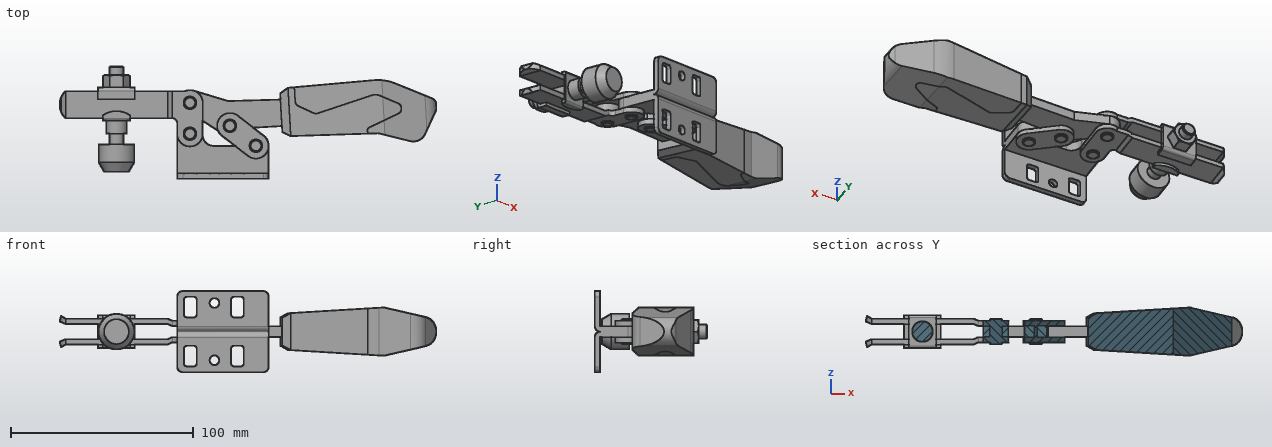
import cadquery as cq
import math


LEVER_THICKNESS = 6.0
SHEET = LEVER_THICKNESS / 2
LOBE_RADIUS = 7.0
RIVET_RADIUS = 3.5
RIVET_HEAD_HEIGHT = 1.0
RIVET_CHAMFER = 0.6
RIVET_HALF_LENGTH = 2 * SHEET + RIVET_HEAD_HEIGHT

ARM_BASE_PIVOT = (71.3, 24.7)
ARM_LEVER_PIVOT = (ARM_BASE_PIVOT[0], 41.6)
LINK_LEVER_PIVOT = (93.1, 29.0)
LINK_BASE_PIVOT = (107.3, 18.1)

BASE_LEFT = ARM_BASE_PIVOT[0] - LOBE_RADIUS
BASE_RIGHT = LINK_BASE_PIVOT[0] + LOBE_RADIUS
BASE_LENGTH = BASE_RIGHT - BASE_LEFT
BASE_WIDTH = 44.5
BASE_CORNER_RADIUS = 3.0
WEB_HEIGHT = LINK_BASE_PIVOT[1]
WEB_FILLET = 6.0
SLOT_WIDTH = 6.8
SLOT_LENGTH = 11.1
SLOT_CORNER_RADIUS = 1.5
SLOT_CENTERS_X = (71.5, 97.2)
SLOT_OFFSET_Z = 13.4
MOUNT_HOLE_DIAMETER = 5.2
MOUNT_HOLE_X = 84.7
MOUNT_HOLE_OFFSET_Z = 15.7

ARM_BOTTOM = 33.2
ARM_TOP = 48.0
ARM_MIDDLE = (ARM_BOTTOM + ARM_TOP) / 2
ARM_INNER_Z = 4.1
ARM_OUTER_Z = ARM_INNER_Z + SHEET
JOG_START_X = 59.1
JOG_END_X = 61.5
ARM_NECK_FILLET = 2.7
TIP_LENGTH = 3.3
TIP_FLARE = 1.5
TIP_BEVEL = 0.8

SPINDLE_X = 31.1
SPINDLE_TOP = 61.5
SPINDLE_RADIUS = 4.0
SPINDLE_CHAMFER = 0.6
WASHER_HALF_WIDTH = 9.0
UPPER_WASHER_LENGTH = 20.2
UPPER_WASHER_BOTTOM = 43.7
UPPER_WASHER_TOP = 50.0
UPPER_WASHER_BEND = 1.9
LOWER_WASHER_LENGTH = 14.8
LOWER_WASHER_BOTTOM = 32.0
LOWER_WASHER_SHOULDER = 34.8
LOWER_WASHER_TOP = 37.0
LOWER_WASHER_BEND = 1.2
NUT_TOP = 56.9
NUT_CORNER_DIAMETER = 14.8
NUT_CHAMFER_WIDTH = 1.0
NUT_CHAMFER_HEIGHT = 0.6
COLLAR_DIAMETER = 11.3
COLLAR_RADIUS = COLLAR_DIAMETER / 2
COLLAR_BOTTOM = 24.7
CAP_DIAMETER = 19.5
CAP_RADIUS = CAP_DIAMETER / 2
CAP_TOP = 19.0
CAP_CONE_TOP = 9.0
CAP_BOTTOM = 4.0
CAP_FACE_RADIUS = 6.8

GRIP_ORIGIN = (121.1, 36.0)
GRIP_TILT = 3.3
GRIP_REACH = 41.2
TAIL_TOP_V = 7.5
TAIL_BOTTOM_V = -7.2
GRIP_CHAMFER_U = 4.5
GRIP_WIDEST_U = 55.8
GRIP_ROUND_U = 79.0
GRIP_END_U = 84.9
GRIP_FRONT_HALF_WIDTH = 7.6
GRIP_CHAMFER_HALF_WIDTH = 10.0
GRIP_MAX_HALF_WIDTH = 13.2
GRIP_ROUND_HALF_WIDTH = 7.8
GRIP_BACK_RADIUS = 24.7
GRIP_TIP_RADIUS = 5.0
GRIP_HEEL_RADIUS = 7.2
CORE_RADIUS = 3.0
CORE_CREST_RADIUS = 6.2
CORE_NOTCH_RADIUS = 1.6


def plate(outline, z_low, z_high):
    """Extrude a closed XY outline between two heights along Z."""
    return outline.extrude(z_high - z_low).translate((0, 0, z_low))


def centered_plate(outline, thickness):
    """Extrude a closed XY outline symmetrically about Z = 0."""
    return plate(outline, -thickness / 2, thickness / 2)


def disc(center, radius, thickness):
    """Flat disc with its axis along Z, centred on Z = 0."""
    return centered_plate(cq.Workplane("XY").center(*center).circle(radius), thickness)


def block(x_range, y_range, z_range):
    """Box between pairs of limits."""
    size = [high - low for low, high in (x_range, y_range, z_range)]
    corner = (x_range[0], y_range[0], z_range[0])
    return cq.Workplane("XY").box(*size, centered=False).translate(corner)


def rivet(center):
    """Rivet through both plates of a pair, with a chamfered head at each end."""
    return disc(center, RIVET_RADIUS, 2 * RIVET_HALF_LENGTH).edges().chamfer(RIVET_CHAMFER)


def rivet_hole(center):
    """Cutter for the hole in which a rivet sits."""
    return disc(center, RIVET_RADIUS, LEVER_THICKNESS)


def riveted_pair(side_plate, pivots):
    """Two mirrored plates joined by the rivets at their pivots."""
    body = side_plate
    for center in pivots:
        body = body.union(rivet(center))
    return body.union(side_plate.mirror("XY"))


def mounting_flange():
    """Foot plate with rounded corners, slots and round holes."""
    flange = block((BASE_LEFT, BASE_RIGHT), (0, SHEET), (-BASE_WIDTH / 2, BASE_WIDTH / 2))
    flange = flange.edges("|Y").fillet(BASE_CORNER_RADIUS)
    for side in (-1, 1):
        for x in SLOT_CENTERS_X:
            slot = cq.Workplane("XY").box(SLOT_WIDTH, 4 * SHEET, SLOT_LENGTH)
            slot = slot.edges("|Y").fillet(SLOT_CORNER_RADIUS)
            flange = flange.cut(slot.translate((x, 0, side * SLOT_OFFSET_Z)))
        hole = cq.Workplane("XZ").center(MOUNT_HOLE_X, side * MOUNT_HOLE_OFFSET_Z)
        hole = hole.circle(MOUNT_HOLE_DIAMETER / 2).extrude(2 * SHEET, both=True)
        flange = flange.cut(hole)
    return flange


def bend_groove():
    """Cutter for the groove left under the base where the two foot bends meet."""
    section = (
        cq.Workplane("YZ")
        .moveTo(0, -SHEET)
        .radiusArc((SHEET, 0), SHEET)
        .radiusArc((0, SHEET), SHEET)
        .close()
    )
    return section.extrude(BASE_LENGTH).translate((BASE_LEFT, 0, 0))


def make_base():
    """Foot plate with an upright web that carries the two fixed pivots."""
    lobe_x, lobe_y = ARM_BASE_PIVOT
    lobe_right = lobe_x + LOBE_RADIUS
    outline = (
        cq.Workplane("XY")
        .moveTo(BASE_LEFT, 0)
        .lineTo(BASE_RIGHT, 0)
        .lineTo(BASE_RIGHT, WEB_HEIGHT)
        .lineTo(lobe_right, WEB_HEIGHT)
        .lineTo(lobe_right, lobe_y)
        .threePointArc((lobe_x, lobe_y + LOBE_RADIUS), (BASE_LEFT, lobe_y))
        .close()
    )
    web = centered_plate(outline, LEVER_THICKNESS)
    inner_corner = cq.selectors.NearestToPointSelector((lobe_right, WEB_HEIGHT, 0))
    web = web.edges("|Z").edges(inner_corner).fillet(WEB_FILLET)
    web = web.union(disc(LINK_BASE_PIVOT, LOBE_RADIUS, LEVER_THICKNESS))
    base = web.union(mounting_flange()).cut(bend_groove())
    return base.cut(rivet_hole(ARM_BASE_PIVOT)).cut(rivet_hole(LINK_BASE_PIVOT))


def arm_outline():
    """Side outline of the arm: a bar with a curved tip, turning down into the pivot lug."""
    x, y_low = ARM_BASE_PIVOT
    y_high = ARM_LEVER_PIVOT[1]
    left, right = x - LOBE_RADIUS, x + LOBE_RADIUS
    lobe_reach = math.sqrt(LOBE_RADIUS**2 - (ARM_TOP - y_high) ** 2)
    return (
        cq.Workplane("XY")
        .moveTo(TIP_LENGTH, ARM_TOP)
        .threePointArc((0, ARM_MIDDLE), (TIP_LENGTH, ARM_BOTTOM))
        .lineTo(left - ARM_NECK_FILLET, ARM_BOTTOM)
        .radiusArc((left, ARM_BOTTOM - ARM_NECK_FILLET), ARM_NECK_FILLET)
        .lineTo(left, y_low)
        .threePointArc((x, y_low - LOBE_RADIUS), (right, y_low))
        .lineTo(right, y_high)
        .threePointArc((x, y_high + LOBE_RADIUS), (x - lobe_reach, ARM_TOP))
        .close()
    )


def arm_sheet():
    """Bent sheet of one arm plate seen along Y: flared tip, straight bar and inward jog."""
    lug_end = ARM_BASE_PIVOT[0] + LOBE_RADIUS
    inner_line = [
        (0, ARM_INNER_Z + TIP_FLARE),
        (TIP_LENGTH, ARM_INNER_Z),
        (JOG_START_X, ARM_INNER_Z),
        (JOG_END_X, SHEET),
        (lug_end, SHEET),
    ]
    outer_line = [(x, z + SHEET) for x, z in inner_line]
    outer_line[0] = (TIP_BEVEL, inner_line[0][1] + SHEET)
    section = cq.Workplane("XZ").polyline(inner_line + outer_line[::-1]).close()
    return section.extrude(-SPINDLE_TOP)


def make_arm():
    """Two mirrored bent plates joined by the rivets of the base and lever pivots."""
    side_plate = plate(arm_outline(), 0, WASHER_HALF_WIDTH).intersect(arm_sheet())
    return riveted_pair(side_plate, (ARM_BASE_PIVOT, ARM_LEVER_PIVOT))


def make_link():
    """Two mirrored flat bars joined by the rivets of the lever and base pivots."""
    (x1, y1), (x2, y2) = LINK_LEVER_PIVOT, LINK_BASE_PIVOT
    length = math.hypot(x2 - x1, y2 - y1)
    angle = math.degrees(math.atan2(y2 - y1, x2 - x1))
    outline = (
        cq.Workplane("XY")
        .center((x1 + x2) / 2, (y1 + y2) / 2)
        .slot2D(length + 2 * LOBE_RADIUS, 2 * LOBE_RADIUS, angle)
    )
    side_plate = plate(outline, SHEET, 2 * SHEET)
    return riveted_pair(side_plate, (LINK_LEVER_PIVOT, LINK_BASE_PIVOT))


def grip_point(u, v):
    """XY position of a point given along and across the tilted grip."""
    tilt = math.radians(GRIP_TILT)
    x = GRIP_ORIGIN[0] + u * math.cos(tilt) - v * math.sin(tilt)
    y = GRIP_ORIGIN[1] + u * math.sin(tilt) + v * math.cos(tilt)
    return (x, y)


def make_lever():
    """Flat lever from the arm pivot past the link pivot to the front face of the grip."""
    lug_top, lug_bottom = (73.1, 48.5), (73.1, 35.0)
    neck_top = (92.0, 42.6)
    elbow_rear, elbow_front = (93.1, 27.2), (89.5, 24.5)
    outline = cq.Workplane("XY").polyline(
        [
            lug_top,
            neck_top,
            grip_point(0, TAIL_TOP_V),
            grip_point(0, TAIL_BOTTOM_V),
            elbow_rear,
            elbow_front,
            lug_bottom,
        ]
    )
    lever = centered_plate(outline.close(), LEVER_THICKNESS)
    for center in (ARM_LEVER_PIVOT, LINK_LEVER_PIVOT):
        lever = lever.union(disc(center, LOBE_RADIUS, LEVER_THICKNESS))
    for center in (ARM_LEVER_PIVOT, LINK_LEVER_PIVOT):
        lever = lever.cut(rivet_hole(center))
    return lever


def round_corner(solid, corner, radius):
    """Fillet the edge along Z nearest to an XY corner."""
    nearest = cq.selectors.NearestToPointSelector((*corner, 0))
    return solid.edges("|Z").edges(nearest).fillet(radius)


def place_grip(solid):
    """Move a solid built in grip coordinates to its tilted place."""
    return solid.rotate((0, 0, 0), (0, 0, 1), GRIP_TILT).translate((*GRIP_ORIGIN, 0))


def whole_grip():
    """Complete handle grip: side outline crossed with the tapered plan outline."""
    back = (57.7, 15.2)
    tip = (87.1, 1.2)
    heel = (75.2, -21.2)
    outline = cq.Workplane("XY").polyline(
        [
            (0, 10.7),
            (GRIP_CHAMFER_U, 13.5),
            back,
            tip,
            heel,
            (52.5, -14.2),
            (GRIP_CHAMFER_U, -13.0),
            (0, -10.5),
        ]
    )
    side = centered_plate(outline.close(), 2 * GRIP_MAX_HALF_WIDTH)
    side = round_corner(side, back, GRIP_BACK_RADIUS)
    side = round_corner(side, tip, GRIP_TIP_RADIUS)
    side = round_corner(side, heel, GRIP_HEEL_RADIUS)
    plan = (
        cq.Workplane("XZ")
        .moveTo(0, -GRIP_FRONT_HALF_WIDTH)
        .lineTo(GRIP_CHAMFER_U, -GRIP_CHAMFER_HALF_WIDTH)
        .lineTo(GRIP_WIDEST_U, -GRIP_MAX_HALF_WIDTH)
        .lineTo(GRIP_ROUND_U, -GRIP_ROUND_HALF_WIDTH)
        .threePointArc((GRIP_END_U, 0), (GRIP_ROUND_U, GRIP_ROUND_HALF_WIDTH))
        .lineTo(GRIP_WIDEST_U, GRIP_MAX_HALF_WIDTH)
        .lineTo(GRIP_CHAMFER_U, GRIP_CHAMFER_HALF_WIDTH)
        .lineTo(0, GRIP_FRONT_HALF_WIDTH)
        .close()
    )
    return side.intersect(plan.extrude(GRIP_REACH, both=True))


def core_region():
    """Region of the grip taken by its core: the front, the lower side and a tongue to the rear."""
    front_corner = (8.0, 4.1)
    dip = (18.7, -1.6)
    crest = (52.3, 7.5)
    tongue_end = (70.2, -1.5)
    notch = (46.5, -11.1)
    outline = cq.Workplane("XY").polyline(
        [
            (0, -GRIP_REACH),
            (notch[0], -GRIP_REACH),
            notch,
            tongue_end,
            crest,
            dip,
            front_corner,
            (front_corner[0], GRIP_REACH),
            (0, GRIP_REACH),
        ]
    )
    region = centered_plate(outline.close(), 2 * GRIP_MAX_HALF_WIDTH)
    for corner in (front_corner, dip, tongue_end):
        region = round_corner(region, corner, CORE_RADIUS)
    region = round_corner(region, crest, CORE_CREST_RADIUS)
    return round_corner(region, notch, CORE_NOTCH_RADIUS)


def make_grip_core():
    return place_grip(whole_grip().intersect(core_region()))


def make_grip_cover():
    return place_grip(whole_grip().cut(core_region()))


def arm_space():
    """Space between the outer faces of the arm bar, kept clear by the washers."""
    return block((0, JOG_START_X), (ARM_BOTTOM, ARM_TOP), (-ARM_OUTER_Z, ARM_OUTER_Z))


def upper_washer():
    """Channel washer on top of the arm, with a flange down each side."""
    reach = UPPER_WASHER_LENGTH / 2
    body = block(
        (SPINDLE_X - reach, SPINDLE_X + reach),
        (UPPER_WASHER_BOTTOM, UPPER_WASHER_TOP),
        (-WASHER_HALF_WIDTH, WASHER_HALF_WIDTH),
    )
    return body.edges("|X and >Y").fillet(UPPER_WASHER_BEND).cut(arm_space())


def lower_washer():
    """Channel washer under the arm, with an arched flange up each side."""
    left = SPINDLE_X - LOWER_WASHER_LENGTH / 2
    right = SPINDLE_X + LOWER_WASHER_LENGTH / 2
    outline = (
        cq.Workplane("XY")
        .moveTo(left, LOWER_WASHER_BOTTOM)
        .lineTo(right, LOWER_WASHER_BOTTOM)
        .lineTo(right, LOWER_WASHER_SHOULDER)
        .threePointArc((SPINDLE_X, LOWER_WASHER_TOP), (left, LOWER_WASHER_SHOULDER))
        .close()
    )
    body = centered_plate(outline, 2 * WASHER_HALF_WIDTH)
    return body.edges("|X and <Y").fillet(LOWER_WASHER_BEND).cut(arm_space())


def turned(profile):
    """Revolve (radius, y) points, closed along the axis, about the spindle axis."""
    rim = [(y, radius) for radius, y in profile]
    points = [(rim[0][0], 0)] + rim + [(rim[-1][0], 0)]
    solid = cq.Workplane("YZ").polyline(points).close().revolve(360, (0, 0), (1, 0))
    return solid.translate((SPINDLE_X, 0, 0))


def nut():
    """Hexagon nut with two corners along X and its top corners chamfered."""
    radius = NUT_CORNER_DIAMETER / 2
    hexagon = cq.Workplane("XZ").polygon(6, NUT_CORNER_DIAMETER)
    hexagon = hexagon.extrude(UPPER_WASHER_TOP - NUT_TOP).translate((SPINDLE_X, UPPER_WASHER_TOP, 0))
    envelope = turned(
        [
            (radius, UPPER_WASHER_TOP),
            (radius, NUT_TOP - NUT_CHAMFER_HEIGHT),
            (radius - NUT_CHAMFER_WIDTH, NUT_TOP),
        ]
    )
    return hexagon.intersect(envelope)


def make_spindle():
    """Clamping screw with its pressure cap, collar, washers and nut."""
    screw = turned(
        [
            (CAP_FACE_RADIUS, CAP_BOTTOM),
            (CAP_RADIUS, CAP_CONE_TOP),
            (CAP_RADIUS, CAP_TOP),
            (SPINDLE_RADIUS, CAP_TOP),
            (SPINDLE_RADIUS, COLLAR_BOTTOM),
            (COLLAR_RADIUS, COLLAR_BOTTOM),
            (COLLAR_RADIUS, LOWER_WASHER_BOTTOM),
            (SPINDLE_RADIUS, LOWER_WASHER_BOTTOM),
            (SPINDLE_RADIUS, SPINDLE_TOP - SPINDLE_CHAMFER),
            (SPINDLE_RADIUS - SPINDLE_CHAMFER, SPINDLE_TOP),
        ]
    )
    return screw.union(lower_washer()).union(upper_washer()).union(nut())


base = make_base()
arm = make_arm()
link = make_link()
lever = make_lever()
grip_core = make_grip_core()
grip_cover = make_grip_cover()
spindle = make_spindle()

bodies = (base, arm, link, lever, grip_core, grip_cover, spindle)
result = cq.Compound.makeCompound([body.solids().val() for body in bodies])